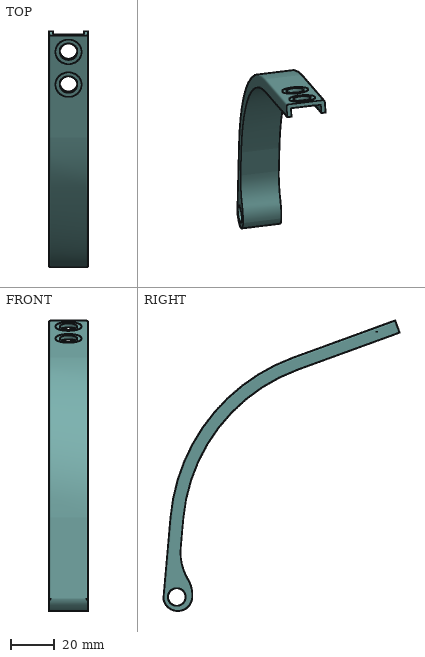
import cadquery as cq
import math

width = 18.0
thickness = 6.0
edge_fillet = 1.0

inner_bend_radius = 80.0
outer_bend_radius = inner_bend_radius + thickness
lower_tilt = math.radians(5)
upper_tilt = math.radians(20)
lower_length = 36.1
upper_length = 49.9

pivot_diameter = 8.0
pivot_to_outer_face = 6.1
lug_radius = 6.7
lug_overhang = 0.15
lug_shift = 0.25
cheek_radius = 14.0
cheek_blend_radius = 24.0

hole_diameter = 8.0
seat_diameter = 12.0
seat_depth = 0.1
first_hole_from_end = 8.0
hole_spacing = 16.0
recess_length = 35.5
rail_width = 2.0
web_thickness = 2.0

match_tolerance = 0.01


def move(start, *steps):
    """Move from a (y, z) point by (distance, direction) steps."""
    y = start[0] + sum(distance * direction[0] for distance, direction in steps)
    z = start[1] + sum(distance * direction[1] for distance, direction in steps)
    return (y, z)


def middle_of(start, end):
    return ((start[0] + end[0]) / 2, (start[1] + end[1]) / 2)


def outward_at(angle):
    """Unit normal of the outer face where the arm is tilted `angle` above horizontal."""
    return (-math.sin(angle), math.cos(angle))


lower_angle = math.pi / 2 - lower_tilt
lower_along = (math.cos(lower_angle), math.sin(lower_angle))
lower_out = outward_at(lower_angle)
upper_along = (math.cos(upper_tilt), math.sin(upper_tilt))
upper_out = outward_at(upper_tilt)
bend_mid_out = outward_at((lower_angle + upper_tilt) / 2)

pivot = (0.0, 0.0)
bend_start = move(pivot, (pivot_to_outer_face, lower_out), (lower_length, lower_along))
bend_centre = move(bend_start, (-outer_bend_radius, lower_out))
bend_mid = move(bend_centre, (outer_bend_radius, bend_mid_out))
bend_end = move(bend_centre, (outer_bend_radius, upper_out))
arm_end = move(bend_end, (upper_length, upper_along))
inner_arm_end = move(arm_end, (-thickness, upper_out))
inner_bend_end = move(bend_centre, (inner_bend_radius, upper_out))
inner_bend_mid = move(bend_centre, (inner_bend_radius, bend_mid_out))
inner_bend_start = move(bend_centre, (inner_bend_radius, lower_out))

lug_to_outer_face = lug_radius - lug_overhang
lug_centre = move(
    pivot,
    (pivot_to_outer_face - lug_to_outer_face, lower_out),
    (lug_shift, lower_along),
)
half_chord = math.sqrt(lug_radius**2 - lug_to_outer_face**2)
lug_corner = move(lug_centre, (lug_to_outer_face, lower_out), (-half_chord, lower_along))
lug_bottom = move(lug_centre, (-lug_radius, lower_along))
lug_inner = move(lug_centre, (-lug_radius, lower_out))

cheek_centre = move(lug_inner, (cheek_radius, lower_out))
cheek_inside_outer_face = lug_to_outer_face + lug_radius - cheek_radius
blend_offset = thickness + cheek_blend_radius - cheek_inside_outer_face
blend_rise = math.sqrt((cheek_radius + cheek_blend_radius) ** 2 - blend_offset**2)
blend_centre = move(cheek_centre, (-blend_offset, lower_out), (blend_rise, lower_along))
blend_turn = math.atan2(blend_rise, blend_offset)


def on_blend(turn):
    """Point of the hollow blend after turning through `turn` from the inner face."""
    across = cheek_blend_radius * math.cos(turn)
    down = cheek_blend_radius * math.sin(turn)
    return move(blend_centre, (across, lower_out), (-down, lower_along))


def on_cheek(turn):
    """Point of the cheek arc, `turn` before it runs into the lug circle."""
    across = cheek_radius * math.cos(turn)
    up = cheek_radius * math.sin(turn)
    return move(cheek_centre, (-across, lower_out), (up, lower_along))


def outer_side_edges(body):
    """Edges along both sides of the outer face, from the lug corner to the arm's end."""
    path_middles = (middle_of(lug_corner, bend_start), bend_mid, middle_of(bend_end, arm_end))
    edges = []
    for edge in body.faces("<X or >X").edges().vals():
        middle = edge.positionAt(0.5)
        if any(math.dist((middle.y, middle.z), point) < match_tolerance for point in path_middles):
            edges.append(edge)
    return edges


def arm_body():
    """Arm and lug in one profile, with the long outer edges rounded."""
    body = (
        cq.Workplane("YZ")
        .moveTo(*lug_corner)
        .lineTo(*bend_start)
        .threePointArc(bend_mid, bend_end)
        .lineTo(*arm_end)
        .lineTo(*inner_arm_end)
        .lineTo(*inner_bend_end)
        .threePointArc(inner_bend_mid, inner_bend_start)
        .lineTo(*on_blend(0))
        .threePointArc(on_blend(blend_turn / 2), on_blend(blend_turn))
        .threePointArc(on_cheek(blend_turn / 2), lug_inner)
        .threePointArc(lug_bottom, lug_corner)
        .close()
        .extrude(width / 2, both=True)
    )
    return body.newObject(outer_side_edges(body)).fillet(edge_fillet)


def mounting_plane():
    """Plane on the outer face at the arm's end: local x across, local y back along the arm."""
    return cq.Plane(
        origin=(0, *arm_end),
        xDir=(-1, 0, 0),
        normal=(0, *upper_out),
    )


def mounting_holes():
    places = [(0, first_hole_from_end), (0, first_hole_from_end + hole_spacing)]
    face = cq.Workplane(mounting_plane()).pushPoints(places)
    holes = face.circle(hole_diameter / 2).extrude(-thickness)
    seats = face.circle(seat_diameter / 2).extrude(-seat_depth)
    return holes.union(seats)


def mounting_recess():
    return (
        cq.Workplane(mounting_plane())
        .workplane(offset=-thickness)
        .center(0, recess_length / 2)
        .rect(width - 2 * rail_width, recess_length)
        .extrude(thickness - web_thickness)
    )


def pivot_hole():
    return cq.Workplane("YZ").center(*pivot).circle(pivot_diameter / 2).extrude(width / 2, both=True)


result = arm_body().cut(pivot_hole()).cut(mounting_recess()).cut(mounting_holes())